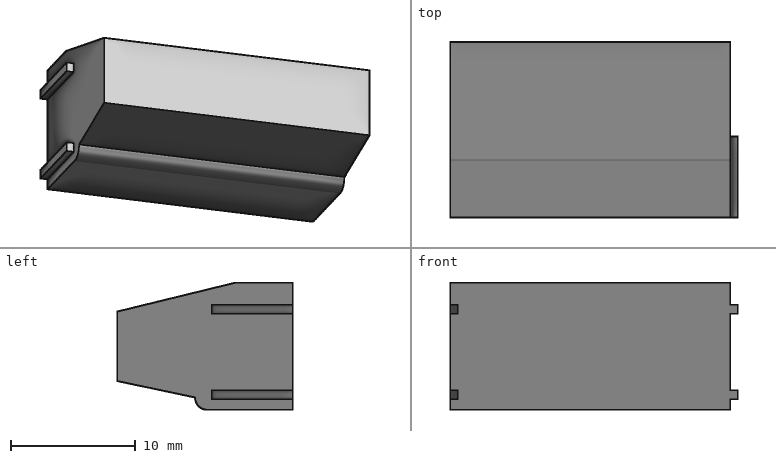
import cadquery as cq

total_length = 23.1
depth = 14.1
height = 10.2

roof_flat_depth = 4.65
back_bottom = 2.3
back_top = 7.9
foot_depth = 7.85
foot_radius = 1.0

tongue_projection = 0.6
tongue_reach = 6.51
tongue_height = 0.75
lower_tongue_bottom = 0.85
upper_tongue_bottom = 7.72

body_length = total_length - tongue_projection


def make_body():
    """Extrude the tapered side profile along X."""
    return (
        cq.Workplane("YZ")
        .moveTo(0, 0)
        .lineTo(foot_depth - foot_radius, 0)
        .radiusArc((foot_depth, foot_radius), -foot_radius)
        .lineTo(depth, back_bottom)
        .lineTo(depth, back_top)
        .lineTo(roof_flat_depth, height)
        .lineTo(0, height)
        .close()
        .extrude(body_length)
    )


def make_rail(start_x, bottom):
    """Bar that serves as a tongue or as the cutter for a groove."""
    return (
        cq.Workplane("XY")
        .box(tongue_projection, tongue_reach, tongue_height, centered=False)
        .translate((start_x, 0, bottom))
    )


result = make_body()
for rail_bottom in (lower_tongue_bottom, upper_tongue_bottom):
    result = result.cut(make_rail(0, rail_bottom))
    result = result.union(make_rail(body_length, rail_bottom))